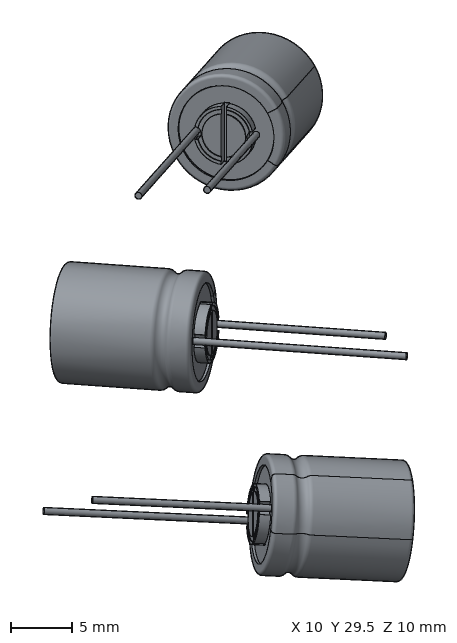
import cadquery as cq
import math


CAN_RADIUS = 5.0
CAN_LENGTH = 11.8
END_FILLET = 0.3
LIP_INNER_RADIUS = 4.07

GROOVE_CENTER = 2.48
GROOVE_HALF_WIDTH = 0.83
GROOVE_DEPTH = 0.35
SHOULDER_WIDTH = 0.35

STRIPE_ANGLE = 60.0

BUNG_RECESS = 0.25
BUNG_INNER_END = GROOVE_CENTER + GROOVE_HALF_WIDTH
BOSS_RADIUS = 2.5
BOSS_PROTRUSION = 0.7
BOSS_HEIGHT = BOSS_PROTRUSION + BUNG_RECESS
RING_GROOVE_OUTER_RADIUS = 2.25
RING_GROOVE_INNER_RADIUS = 1.85
RING_GROOVE_DEPTH = 0.1
SLOT_WIDTH = 0.45
SLOT_LENGTH = 5.07
SLOT_DEPTH = BOSS_HEIGHT + 0.1
LEAD_NOTCH_RADIUS = 0.55

LEAD_RADIUS = 0.3
LEAD_OFFSET = 2.5
LONG_LEAD_TIP = CAN_LENGTH - 29.5
SHORT_LEAD_TIP = LONG_LEAD_TIP + 2.98


def cylinder(radius, y_start, y_end, x=0.0):
    """Solid cylinder parallel to Y between two Y positions."""
    return (
        cq.Workplane("XZ", origin=(x, y_start, 0))
        .circle(radius)
        .extrude(y_start - y_end)
    )


def shell_blank():
    """Full revolved can with rounded ends, a rolled groove and an axial bore for the bung."""
    turn = 2 * math.atan(GROOVE_DEPTH / GROOVE_HALF_WIDTH)
    shoulder_radius = SHOULDER_WIDTH / math.sin(turn)
    inflection_radius = CAN_RADIUS - shoulder_radius * (1 - math.cos(turn))
    shoulder_mid = (
        CAN_RADIUS - shoulder_radius * (1 - math.cos(turn / 2)),
        shoulder_radius * math.sin(turn / 2),
    )
    groove_start = GROOVE_CENTER - GROOVE_HALF_WIDTH
    groove_end = GROOVE_CENTER + GROOVE_HALF_WIDTH
    fillet_mid_offset = END_FILLET * (1 - math.sqrt(0.5))
    profile = (
        cq.Workplane("XY")
        .moveTo(LIP_INNER_RADIUS, 0)
        .lineTo(CAN_RADIUS - END_FILLET, 0)
        .threePointArc((CAN_RADIUS - fillet_mid_offset, fillet_mid_offset), (CAN_RADIUS, END_FILLET))
        .lineTo(CAN_RADIUS, groove_start)
        .threePointArc(
            (shoulder_mid[0], groove_start + shoulder_mid[1]),
            (inflection_radius, groove_start + SHOULDER_WIDTH),
        )
        .threePointArc(
            (CAN_RADIUS - GROOVE_DEPTH, GROOVE_CENTER),
            (inflection_radius, groove_end - SHOULDER_WIDTH),
        )
        .threePointArc((shoulder_mid[0], groove_end - shoulder_mid[1]), (CAN_RADIUS, groove_end))
        .lineTo(CAN_RADIUS, CAN_LENGTH - END_FILLET)
        .threePointArc(
            (CAN_RADIUS - fillet_mid_offset, CAN_LENGTH - fillet_mid_offset),
            (CAN_RADIUS - END_FILLET, CAN_LENGTH),
        )
        .lineTo(0, CAN_LENGTH)
        .lineTo(0, BUNG_INNER_END)
        .lineTo(LIP_INNER_RADIUS, BUNG_INNER_END)
        .close()
    )
    return profile.revolve(360, (0, 0, 0), (0, 1, 0))


def stripe_sector():
    """Wedge around +X, outside the lip's inner radius, along the whole can."""
    reach = 2 * CAN_RADIUS
    half_height = reach * math.tan(math.radians(STRIPE_ANGLE / 2))
    wedge = (
        cq.Workplane("XZ")
        .polyline([(0, 0), (reach, half_height), (reach, -half_height)])
        .close()
        .extrude(-CAN_LENGTH)
    )
    return wedge.cut(cylinder(LIP_INNER_RADIUS, 0, CAN_LENGTH))


def make_bung():
    """Disc with a slotted, ring-grooved boss that is notched around each lead."""
    boss_face = -BOSS_PROTRUSION
    boss = cylinder(BOSS_RADIUS, boss_face, BUNG_RECESS)
    ring_groove_floor = boss_face + RING_GROOVE_DEPTH
    ring_groove = cylinder(RING_GROOVE_OUTER_RADIUS, boss_face, ring_groove_floor).cut(
        cylinder(RING_GROOVE_INNER_RADIUS, boss_face, ring_groove_floor)
    )
    slot = cq.Workplane("XY").box(SLOT_WIDTH, SLOT_DEPTH, SLOT_LENGTH).translate(
        (0, boss_face + SLOT_DEPTH / 2, 0)
    )
    boss = boss.cut(ring_groove)
    for x in (-LEAD_OFFSET, LEAD_OFFSET):
        boss = boss.cut(cylinder(LEAD_NOTCH_RADIUS, boss_face, BUNG_RECESS, x))
    return cylinder(LIP_INNER_RADIUS, BUNG_RECESS, BUNG_INNER_END).union(boss).cut(slot)


def make_lead(x, tip):
    """Straight round lead standing on the bung face."""
    return cylinder(LEAD_RADIUS, tip, BUNG_RECESS, x)


blank = shell_blank()
sector = stripe_sector()
can = blank.cut(sector)
stripe = blank.intersect(sector)
bung = make_bung()
leads = [
    make_lead(x, tip).val()
    for x, tip in ((-LEAD_OFFSET, LONG_LEAD_TIP), (LEAD_OFFSET, SHORT_LEAD_TIP))
]

result = cq.Compound.makeCompound([can.val(), stripe.val(), bung.val(), *leads])